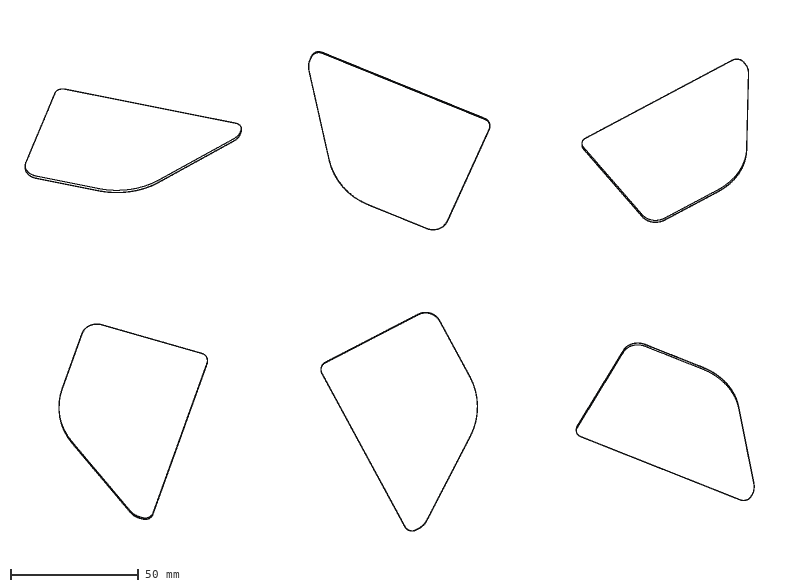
import cadquery as cq
import math

length = 76.2
width = 50.8
thickness = 1.3

top_radius = 3.2
bottom_left_radius = 6.25
bottom_right_radius = 25.9
tip_radius = 7.5

slope_angle = 54.7
slope_top_drop = 6.85

slope_top = width - slope_top_drop
slope_bottom_x = length - slope_top / math.tan(math.radians(slope_angle))

plate = (
    cq.Workplane("XY")
    .moveTo(0, 0)
    .lineTo(slope_bottom_x, 0)
    .lineTo(length, slope_top)
    .lineTo(length, width)
    .lineTo(0, width)
    .close()
    .extrude(thickness)
)


def round_corner(body, x, y, radius):
    """Round the upright edge that stands at (x, y)."""
    nearest = cq.selectors.NearestToPointSelector((x, y, thickness / 2))
    return body.edges("|Z").edges(nearest).fillet(radius)


corners = [
    (0, width, top_radius),
    (length, width, top_radius),
    (0, 0, bottom_left_radius),
    (slope_bottom_x, 0, bottom_right_radius),
    (length, slope_top, tip_radius),
]
for corner_x, corner_y, corner_radius in corners:
    plate = round_corner(plate, corner_x, corner_y, corner_radius)

result = plate